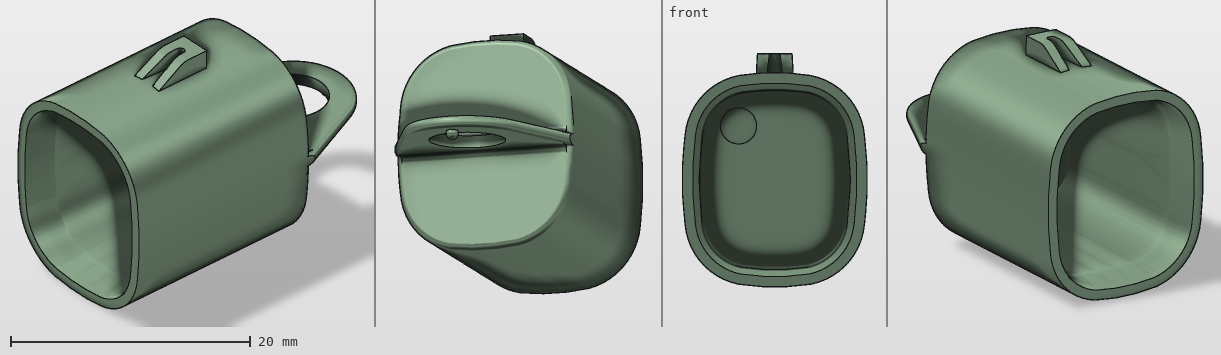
import cadquery as cq
import math

half_width = 7.7
half_height = 8.93
body_length = 18.97
crown_half_span = 3.02
crown_rise = 0.23
side_half_span = 3.7
side_rise = 0.23
corner_radius = 5.6
back_edge_radius = 0.5

mouth_wall = 0.87
lead_in_wall = 1.3
floor_wall = 1.45
lead_in_depth = 3.0
floor_thickness = 1.0
floor_edge_radius = 0.2

mark_x = -3.02
mark_z = 4.5
mark_radius = 1.5
mark_depth = 0.1

overall_length = 29.0
loop_thickness = 1.02
loop_radius = 5.28
loop_center_y = overall_length - loop_radius
loop_base_half = 7.68
loop_base_y = 19.43
loop_sink = 0.58
loop_edge_radius = 0.44
loop_root_radius = 0.6
hole_radius = 3.2
hole_center_y = 23.5

ball_radius = 0.52
ball_y = 27.5
ball_z = -0.72

catch_top_z = 10.53
catch_root_z = half_height - 0.52
catch_back_top_y = 12.9
catch_back_base_y = 12.8
catch_toe_y = 7.63
catch_ramp_angle = 30.0
catch_crest_radius = 2.0
catch_top_half = 1.45
catch_base_half = 1.55
slot_end_y = 11.63
slot_end_radius = 0.392
slot_toe_half = 0.65


def body_outline(y, inset):
    """Barrel-sided oval in the plane at Y = y, shrunk evenly by inset."""
    x_side = half_width - side_rise
    z_crown = half_height - crown_rise
    outline = (
        cq.Workplane("XZ", origin=(0, y, 0))
        .moveTo(-crown_half_span, z_crown)
        .threePointArc((0, half_height), (crown_half_span, z_crown))
        .radiusArc((x_side, side_half_span), corner_radius)
        .threePointArc((half_width, 0), (x_side, -side_half_span))
        .radiusArc((crown_half_span, -z_crown), corner_radius)
        .threePointArc((0, -half_height), (-crown_half_span, -z_crown))
        .radiusArc((-x_side, -side_half_span), corner_radius)
        .threePointArc((-half_width, 0), (-x_side, side_half_span))
        .radiusArc((-crown_half_span, z_crown), corner_radius)
        .close()
    )
    return outline.offset2D(-inset) if inset else outline


def tapered_plug(y_start, inset_start, y_end, inset_end):
    """Solid between two inset outlines."""
    start = body_outline(y_start, inset_start).val()
    end = body_outline(y_end, inset_end).val()
    return cq.Workplane(obj=cq.Solid.makeLoft([start, end], True))


def make_shell():
    return body_outline(0, 0).extrude(-body_length).faces(">Y").edges().fillet(back_edge_radius)


def make_cavity():
    floor_y = body_length - floor_thickness
    lead_in = tapered_plug(0, mouth_wall, lead_in_depth, lead_in_wall)
    bore = tapered_plug(lead_in_depth, lead_in_wall, floor_y, floor_wall)
    bore = bore.faces(">Y").edges().fillet(floor_edge_radius)
    mark = (
        cq.Workplane("XZ", origin=(mark_x, floor_y, mark_z))
        .circle(mark_radius)
        .extrude(-mark_depth)
    )
    return lead_in.union(bore).union(mark)


def make_loop():
    base_drop = loop_center_y - loop_base_y
    base_distance = math.hypot(loop_base_half, base_drop)
    tangent_angle = math.acos(loop_radius / base_distance) - math.atan2(base_drop, loop_base_half)
    tangent_x = loop_radius * math.cos(tangent_angle)
    tangent_y = loop_center_y + loop_radius * math.sin(tangent_angle)
    root_y = body_length - loop_sink
    plate = (
        cq.Workplane("XY", origin=(0, 0, -loop_thickness / 2))
        .moveTo(-loop_base_half, root_y)
        .lineTo(-loop_base_half, loop_base_y)
        .lineTo(-tangent_x, tangent_y)
        .threePointArc((0, overall_length), (tangent_x, tangent_y))
        .lineTo(loop_base_half, loop_base_y)
        .lineTo(loop_base_half, root_y)
        .close()
        .extrude(loop_thickness)
    )
    rim = cq.selectors.BoxSelector(
        (-half_width, loop_base_y, -loop_thickness), (half_width, overall_length, loop_thickness)
    )
    plate = plate.faces("|Z").edges(rim).fillet(loop_edge_radius)
    hole = (
        cq.Workplane("XY", origin=(0, hole_center_y, -loop_thickness))
        .circle(hole_radius)
        .extrude(2 * loop_thickness)
    )
    ball = cq.Workplane("XY", origin=(0, ball_y, ball_z)).sphere(ball_radius)
    return plate.cut(hole).union(ball)


def make_loop_root():
    """Concave fillets where the loop meets the back face, above and below."""
    face_z = loop_thickness / 2
    half_length = half_width - back_edge_radius
    sag = loop_root_radius * (1 - math.sqrt(0.5))
    root = (
        cq.Workplane("YZ", origin=(-half_length, 0, 0))
        .moveTo(body_length, 0)
        .lineTo(body_length, face_z + loop_root_radius)
        .threePointArc((body_length + sag, face_z + sag), (body_length + loop_root_radius, face_z))
        .lineTo(body_length + loop_root_radius, 0)
        .close()
        .extrude(2 * half_length)
    )
    return root.union(root.mirror("XY"))


def make_catch():
    ramp_run = (catch_top_z - half_height) / math.tan(math.radians(catch_ramp_angle))
    root_run = (half_height - catch_root_z) / math.tan(math.radians(catch_ramp_angle))
    crest_y = catch_toe_y + ramp_run
    ramp = (
        cq.Workplane("YZ", origin=(-catch_base_half, 0, 0))
        .moveTo(catch_back_base_y, catch_root_z)
        .lineTo(catch_back_top_y, catch_top_z)
        .lineTo(crest_y, catch_top_z)
        .lineTo(catch_toe_y - root_run, catch_root_z)
        .close()
        .extrude(2 * catch_base_half)
    )
    crest = cq.selectors.NearestToPointSelector((0, crest_y, catch_top_z))
    ramp = ramp.edges("|X").edges(crest).fillet(catch_crest_radius)
    drafted_sides = (
        cq.Workplane("XZ")
        .moveTo(-catch_base_half, catch_root_z)
        .lineTo(catch_base_half, catch_root_z)
        .lineTo(catch_base_half, half_height)
        .lineTo(catch_top_half, catch_top_z)
        .lineTo(-catch_top_half, catch_top_z)
        .lineTo(-catch_base_half, half_height)
        .close()
        .extrude(-body_length)
    )
    slot_shoulder_y = slot_end_y - slot_end_radius
    slot_mouth_y = catch_toe_y - root_run
    slot = (
        cq.Workplane("XY", origin=(0, 0, catch_root_z))
        .moveTo(-slot_toe_half, slot_mouth_y)
        .lineTo(-slot_toe_half, catch_toe_y)
        .lineTo(-slot_end_radius, slot_shoulder_y)
        .threePointArc((0, slot_end_y), (slot_end_radius, slot_shoulder_y))
        .lineTo(slot_toe_half, catch_toe_y)
        .lineTo(slot_toe_half, slot_mouth_y)
        .close()
        .extrude(catch_top_z - catch_root_z)
    )
    return ramp.intersect(drafted_sides).cut(slot)


result = (
    make_shell()
    .union(make_loop())
    .union(make_loop_root())
    .union(make_catch())
    .cut(make_cavity())
)